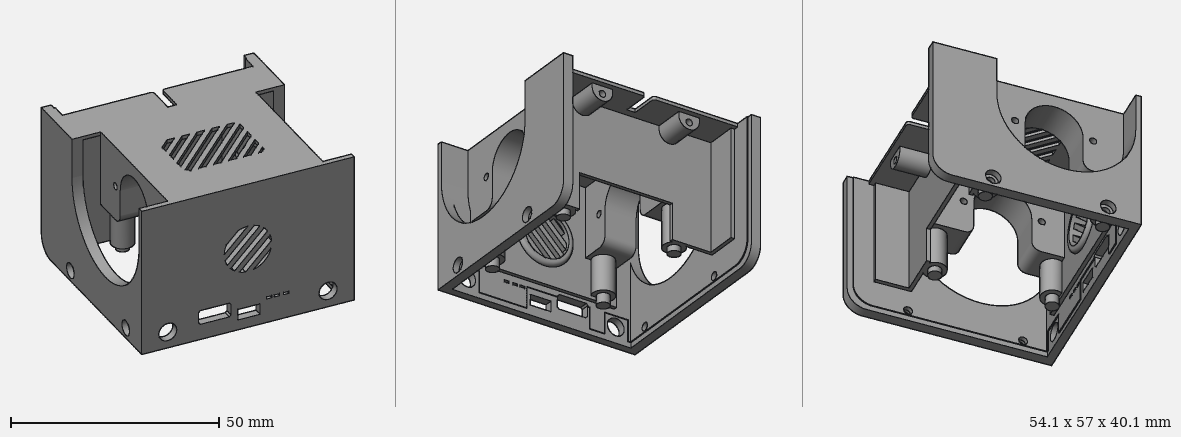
import cadquery as cq
import math

length = 54.1
width = 57.0
height = 40.1
half_width = width / 2

side_thickness = 2.95
side_inner = half_width - side_thickness
corner_radius = 5.0
roof_thickness = 0.95
roof_front = 5.5
roof_underside = height - roof_thickness
back_thickness = 2.5
back_inner = length - back_thickness

rebate_width = 1.5
rebate_depth = 0.3

box_bottom = 9.0
box_half_width = 20.8
front_wall = 15.5
front_wall_thickness = 1.0
lining_thickness = 1.0
lining_front = back_inner - lining_thickness
side_pad_front = 6.85
side_pad_thickness = 1.0
block_thickness = 9.0
block_inner = box_half_width - block_thickness
block_bottom = 19.8
notch_half_width = 13.4
notch_top = 19.05

wheel_x = 34.6
wheel_z = 29.2
well_radius = 18.0
arch_radius = 7.5
arch_foot_radius = 2.4
motor_screw_spacing = 20.25
pilot_diameter = 1.8

front_post_x = 18.7
back_post_x = 49.15
post_y = 16.0
post_diameter = 6.0
pin_diameter = 3.4
back_post_bottom = 10.0
pin_bottom = 7.35

lid_screw_x = (15.7, 45.5)
lid_screw_z = 2.85
lid_screw_diameter = 2.2
lid_head_diameter = 4.0
lid_head_depth = 1.7

boss_front = 7.0
boss_y = 12.55
boss_z = 38.1
boss_hole_z = 37.05
boss_radius = 2.95
boss_hole_depth = 6.0

cable_slot_width = 2.4
cable_slot_end = 13.35
cable_slot_rounding = 0.75

grille_pitch = 2.85
grille_slot = 1.4
roof_grille_length = 15.2
roof_grille_width = 21.55
roof_grille_field = 24.35
roof_grille_shift = 0.9
fan_grille_shift = -0.45

fan_z = 22.0
fan_ring_diameter = 16.1
fan_bore = 12.7
fan_ring_height = 1.0
fan_ring_rounding = 0.95

pocket_top = pin_bottom
pocket_depth = rebate_depth
pocket_spans = ((-24.9, -18.1), (-13.85, 4.35), (18.1, 24.9))
jack_diameter = 4.8
jack_y = 21.5
jack_z = 4.45
usb_span = (-2.75, 3.25)
usb_heights = (2.8, 5.7)
hdmi_span = (-13.2, -4.55)
hdmi_heights = (4.3, 8.1)
hdmi_chamfer = 0.45
led_centers = (5.7, 7.8, 10.25)
led_length = 1.35
led_heights = (6.6, 7.2)


def block(x0, x1, y0, y1, z0, z1):
    """Box between two opposite corners."""
    return cq.Workplane("XY").box(x1 - x0, y1 - y0, z1 - z0, centered=False).translate((x0, y0, z0))


def rod_x(diameter, x0, x1, y, z):
    """Cylinder along X."""
    return cq.Workplane("YZ", origin=(x0, y, z)).circle(diameter / 2).extrude(x1 - x0)


def rod_y(diameter, y0, y1, x, z):
    """Cylinder along Y."""
    return cq.Workplane("XZ", origin=(x, y0, z)).circle(diameter / 2).extrude(y0 - y1)


def rod_z(diameter, z0, z1, x, y):
    """Cylinder along Z."""
    return cq.Workplane("XY", origin=(x, y, z0)).circle(diameter / 2).extrude(z1 - z0)


def both_sides(solid):
    """The solid together with its mirror image across the XZ plane."""
    return solid.union(solid.mirror("XZ"))


def diagonal_slots(field, shift, depth):
    """Slots tilted 45 degrees inside a square field, extruded up from the XY plane."""
    reach = math.ceil(field / 2 / grille_pitch)
    centers = [(0, shift + step * grille_pitch) for step in range(-reach, reach + 1)]
    slots = cq.Workplane("XY").pushPoints(centers).rect(field, grille_slot).extrude(depth)
    square = cq.Workplane("XY").rect(field, field).extrude(depth)
    return slots.intersect(square).rotate((0, 0, 0), (0, 0, 1), -45)


def make_side():
    """Side at +Y with its front bottom corner rounded and the lid rebate on its inner face."""
    plate = block(0, length, side_inner, half_width, 0, height)
    plate = plate.edges("|Y and <X and <Z").fillet(corner_radius)
    rim = block(0, back_inner, side_inner, side_inner + rebate_depth, 0, height)
    kept = block(rebate_width, length, side_inner, half_width, rebate_width, height)
    kept = kept.edges("|Y and <X and <Z").fillet(corner_radius)
    return plate.cut(rim.cut(kept))


def make_shell():
    roof = block(roof_front, length, -side_inner, side_inner, roof_underside, height)
    back = block(back_inner, length, -side_inner, side_inner, 0, height)
    return both_sides(make_side()).union(roof).union(back)


def make_inner_box():
    wall_back = front_wall + front_wall_thickness
    wall = block(front_wall, wall_back, -side_inner, side_inner, box_bottom, roof_underside)
    notch = block(front_wall, wall_back, -notch_half_width, notch_half_width, box_bottom, notch_top)
    pad_face = side_inner - side_pad_thickness
    pad = block(side_pad_front, wall_back, pad_face, side_inner, box_bottom, roof_underside)
    lining = block(lining_front, back_inner, -box_half_width, box_half_width, box_bottom, roof_underside)
    side_block = block(front_wall, back_inner, block_inner, box_half_width, block_bottom, roof_underside)
    return wall.cut(notch).union(lining).union(both_sides(pad.union(side_block)))


def make_posts():
    posts = cq.Workplane("XY")
    for x, post_bottom in ((front_post_x, box_bottom), (back_post_x, back_post_bottom)):
        posts = posts.union(rod_z(post_diameter, post_bottom, block_bottom, x, post_y))
        posts = posts.union(rod_z(pin_diameter, pin_bottom, post_bottom, x, post_y))
    return both_sides(posts)


def make_front_bosses():
    barrel = rod_x(2 * boss_radius, boss_front, front_wall, boss_y, boss_z)
    web = block(boss_front, front_wall, boss_y - boss_radius, boss_y + boss_radius, boss_z, roof_underside)
    room = block(boss_front, front_wall, 0, side_inner, 0, roof_underside)
    return both_sides(barrel.intersect(room).union(web))


def make_fan_ring():
    """Ring standing on the back lining, with its outer rim rounded."""
    ring = rod_x(fan_ring_diameter, lining_front - fan_ring_height, lining_front, 0, fan_z)
    return ring.edges("<X").fillet(fan_ring_rounding)


def wheel_well_cut():
    """U-shaped well through the side and up to the face of the side block."""
    well = rod_y(2 * well_radius, box_half_width, half_width, wheel_x, wheel_z)
    open_top = block(
        wheel_x - well_radius, wheel_x + well_radius, box_half_width, half_width, wheel_z, height
    )
    return well.union(open_top)


def arch_cut():
    """Round-topped opening through the side block with flared feet."""
    foot_x = arch_radius + arch_foot_radius
    foot_z = block_bottom + arch_foot_radius
    diagonal = arch_foot_radius * math.sqrt(0.5)
    return (
        cq.Workplane("XZ", origin=(wheel_x, block_inner, 0))
        .moveTo(-foot_x, block_bottom)
        .threePointArc((-foot_x + diagonal, foot_z - diagonal), (-arch_radius, foot_z))
        .lineTo(-arch_radius, wheel_z)
        .threePointArc((0, wheel_z + arch_radius), (arch_radius, wheel_z))
        .lineTo(arch_radius, foot_z)
        .threePointArc((foot_x - diagonal, foot_z - diagonal), (foot_x, block_bottom))
        .close()
        .extrude(-block_thickness)
    )


def side_cuts():
    cuts = wheel_well_cut().union(arch_cut())
    for offset in (-motor_screw_spacing / 2, motor_screw_spacing / 2):
        cuts = cuts.union(rod_y(pilot_diameter, block_inner, box_half_width, wheel_x + offset, wheel_z))
    for x in lid_screw_x:
        cuts = cuts.union(rod_y(lid_screw_diameter, side_inner, half_width, x, lid_screw_z))
        head_floor = half_width - lid_head_depth
        cuts = cuts.union(rod_y(lid_head_diameter, head_floor, half_width, x, lid_screw_z))
    return both_sides(cuts)


def front_boss_holes():
    return both_sides(rod_x(pilot_diameter, boss_front, boss_front + boss_hole_depth, boss_y, boss_hole_z))


def cable_slot_cut():
    """Slot from the front edge of the roof, with a rounded mouth."""
    half_slot = cable_slot_width / 2
    half_mouth = half_slot + cable_slot_rounding
    straight_start = roof_front + cable_slot_rounding
    diagonal = cable_slot_rounding * math.sqrt(0.5)
    arc_x = straight_start - diagonal
    arc_y = half_mouth - diagonal
    return (
        cq.Workplane("XY", origin=(0, 0, roof_underside))
        .moveTo(roof_front, -half_mouth)
        .threePointArc((arc_x, -arc_y), (straight_start, -half_slot))
        .lineTo(cable_slot_end, -half_slot)
        .lineTo(cable_slot_end, half_slot)
        .lineTo(straight_start, half_slot)
        .threePointArc((arc_x, arc_y), (roof_front, half_mouth))
        .close()
        .extrude(roof_thickness)
    )


def roof_grille_cut():
    frame = cq.Workplane("XY").rect(roof_grille_length, roof_grille_width).extrude(roof_thickness)
    slots = diagonal_slots(roof_grille_field, roof_grille_shift, roof_thickness)
    return slots.intersect(frame).translate((wheel_x, 0, roof_underside))


def fan_cuts():
    """Bore of the fan ring down to the lining face, and the slots through the wall behind it."""
    floor_thickness = length - lining_front
    bore = rod_x(fan_bore, lining_front - fan_ring_height, lining_front, 0, fan_z)
    disc = cq.Workplane("XY").circle(fan_bore / 2).extrude(floor_thickness)
    slots = diagonal_slots(fan_ring_diameter, fan_grille_shift, floor_thickness).intersect(disc)
    slots = slots.rotate((0, 0, 0), (1, 1, 1), 120).rotate((0, 0, 0), (1, 0, 0), 90)
    return bore.union(slots.translate((lining_front, 0, fan_z)))


def back_cuts():
    pocket_back = back_inner + pocket_depth
    rim = side_inner + rebate_depth
    cuts = block(back_inner, pocket_back, -rim, rim, 0, rebate_width)
    for y0, y1 in pocket_spans:
        cuts = cuts.union(block(back_inner, pocket_back, y0, y1, 0, pocket_top))
    for y in (-jack_y, jack_y):
        cuts = cuts.union(rod_x(jack_diameter, back_inner, length, y, jack_z))
    hdmi = block(back_inner, length, *hdmi_span, *hdmi_heights).edges("|X").chamfer(hdmi_chamfer)
    cuts = cuts.union(hdmi).union(block(back_inner, length, *usb_span, *usb_heights))
    for y in led_centers:
        led = block(back_inner, length, y - led_length / 2, y + led_length / 2, *led_heights)
        cuts = cuts.union(led)
    return cuts


result = make_shell().union(make_inner_box()).union(make_posts())
result = result.union(make_front_bosses()).union(make_fan_ring())
result = result.cut(side_cuts()).cut(front_boss_holes()).cut(cable_slot_cut())
result = result.cut(roof_grille_cut()).cut(fan_cuts()).cut(back_cuts())